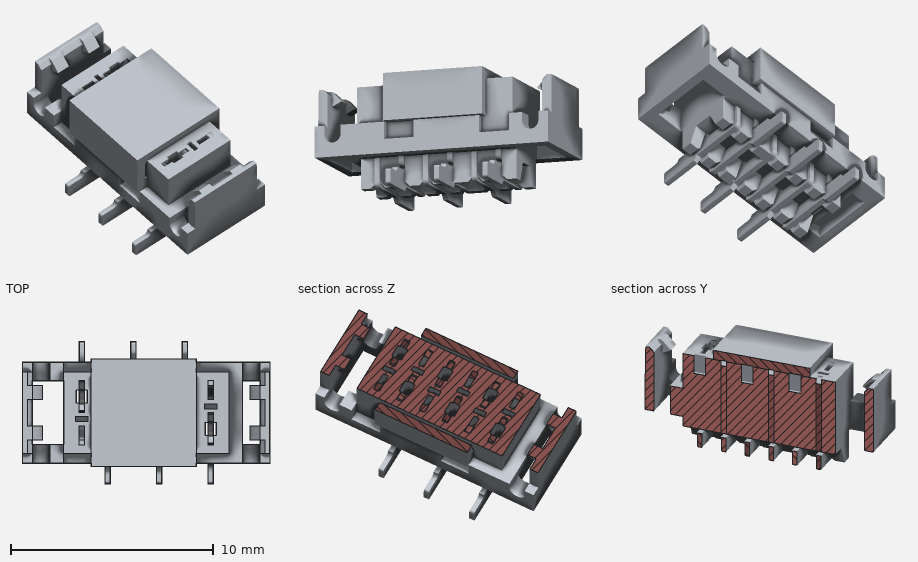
import cadquery as cq
import math


block_bottom = 0.25
base_bottom = 1.76
base_top = 3.34
tower_top = 5.25
base_left = -6.11
base_right = 6.11
base_width = 5.0
tower_length = 8.15
tower_width = 4.01
block_width = 2.82

clip_inner_x = 5.61
clip_lean = 0.04
lip_chamfer = 0.25
notch_outer_x = clip_inner_x
notch_inner_x = 4.75
notch_bottom = 2.47
opening_width = 3.13
hook_tip_x = 5.11
hook_tip_z = 4.75
hook_bottom = 4.51
hook_width = 0.7
hook_spacing = 1.99

recess_floor = notch_bottom
left_recess_end = -2.49
right_recess_start = 0.93

cap_left = -2.71
cap_right = 2.47
cap_width = 5.3
cap_top = 5.75
cap_bottom = 3.37
cap_gap = 0.15
cap_top_chamfer = 0.12
grip_top = 4.0
grip_chamfer = 0.1

contact_count = 6
contact_pitch = 1.27
contact_thickness = 0.27
contact_reach = 1.6
foot_span = 7.0
foot_tip = foot_span / 2
foot_heel = 1.4
foot_fillet = 0.12
step_start = 2.48
step_radius = 0.25
bar_top = 1.03
foot_top = bar_top - step_radius
heel_fillet = 0.23
groove_height = 0.1
post_top = 5.23
post_top_inner = -1.35
post_root = -0.88
post_foot = -0.65
post_slope = 72.0
fork_underside = 1.23
fork_tip_z = 5.23
fork_center = 0.8
fork_tip_inset = 0.1
fork_gap_half = 0.35
fork_floor_half = 0.15
fork_lead_in = 0.38
fork_floor = 1.95
fork_taper_start = 4.15
shoulder_radius = 0.25
inner_groove_y = 0.37
outer_groove_y = contact_reach - shoulder_radius

window_start = 0.49
window_end = 1.11
window_width = 0.53
mouth_chamfer = 0.25
half_mouth_index = 2
pocket_center = -0.32
pocket_length = 0.6
pocket_width = 0.25
pocket_depth = 0.98
channel_top_width = 0.95
channel_bottom_width = 1.74


def box(x_min, x_max, y_min, y_max, z_min, z_max):
    """Axis-aligned box between the given limits."""
    size = (x_max - x_min, y_max - y_min, z_max - z_min)
    return cq.Workplane("XY").box(*size, centered=False).translate((x_min, y_min, z_min))


def centered_box(x_min, x_max, width, z_min, z_max):
    """Box that is symmetric about Y = 0."""
    return box(x_min, x_max, -width / 2, width / 2, z_min, z_max)


def extrude_along_y(points, width, center_y=0.0):
    """Prism of an XZ outline, centred on center_y."""
    outline = cq.Workplane("XZ").polyline(points).close()
    return outline.extrude(width / 2, both=True).translate((0, center_y, 0))


def contact_places():
    """X position and foot direction (+1 towards +Y) of every contact."""
    middle = (contact_count - 1) / 2
    return [((i - middle) * contact_pitch, (-1) ** i) for i in range(contact_count)]


def clip_wall(side, outer_x, top_outer_x):
    """Clip wall above the base with a chamfered lip and two latching hooks."""
    inner_x = side * clip_inner_x
    lip_x = inner_x + side * lip_chamfer
    wall_outline = [
        (outer_x, base_top),
        (inner_x, base_top),
        (inner_x, tower_top - lip_chamfer),
        (lip_x, tower_top),
        (top_outer_x, tower_top),
    ]
    hook_outline = [
        (lip_x, tower_top),
        (inner_x, tower_top),
        (side * hook_tip_x, hook_tip_z),
        (inner_x, hook_bottom),
        (lip_x, hook_bottom),
    ]
    wall = extrude_along_y(wall_outline, tower_width)
    for hook_y in (-hook_spacing / 2, hook_spacing / 2):
        wall = wall.union(extrude_along_y(hook_outline, hook_width, hook_y))
    return wall


def clip_notch(side):
    """Round-bottomed notch across the base that lets a clip wall flex."""
    radius = (notch_outer_x - notch_inner_x) / 2
    center_x = side * (notch_outer_x + notch_inner_x) / 2
    center_z = notch_bottom + radius
    slot = centered_box(center_x - radius, center_x + radius, base_width, center_z, base_top)
    bottom = cq.Workplane("XZ").center(center_x, center_z).circle(radius)
    return slot.union(bottom.extrude(base_width / 2, both=True))


def side_recess(x_min, x_max):
    """Open-topped recesses beside the tower, one on each long side."""
    strip = centered_box(x_min, x_max, base_width, recess_floor, base_top)
    return strip.cut(centered_box(x_min, x_max, tower_width, recess_floor, base_top))


def contact_cavity():
    """Space cut for one contact at X = 0 whose foot points to +Y."""
    half = contact_thickness / 2
    fork_slot = box(-half, half, 0, contact_reach, block_bottom, tower_top)
    post_slot = box(-half, half, -contact_reach, post_foot, block_bottom, tower_top)
    bar_slit = centered_box(-half, half, block_width, block_bottom, fork_underside)
    window = box(-window_width / 2, window_width / 2, window_start, window_end, block_bottom, tower_top)
    pocket = box(
        -pocket_length / 2, pocket_length / 2,
        pocket_center - pocket_width / 2, pocket_center + pocket_width / 2,
        tower_top - pocket_depth, tower_top,
    )
    return fork_slot.union(post_slot).union(bar_slit).union(window).union(pocket)


def slit_mouth(x, side):
    """Chamfer along one side of the contact slit at x, in the underside of the lower block."""
    edge = x + side * contact_thickness / 2
    outline = [
        (x, block_bottom),
        (edge + side * mouth_chamfer, block_bottom),
        (edge, block_bottom + mouth_chamfer),
        (x, block_bottom + mouth_chamfer),
    ]
    return extrude_along_y(outline, block_width)


def drain_channel():
    """Trapezoidal channel along X in the underside of the lower block."""
    outline = [
        (-channel_bottom_width / 2, block_bottom),
        (channel_bottom_width / 2, block_bottom),
        (channel_top_width / 2, fork_underside),
        (-channel_top_width / 2, fork_underside),
    ]
    return cq.Workplane("YZ").polyline(outline).close().extrude(tower_length / 2, both=True)


def place_at_contact(shape, x, direction):
    """Move a shape made for X = 0 to a contact position, mirrored for a foot towards -Y."""
    if direction < 0:
        shape = shape.mirror("XZ")
    return shape.translate((x, 0, 0))


def make_housing():
    half_length = tower_length / 2
    housing = centered_box(base_left, base_right, base_width, base_bottom, base_top)
    housing = housing.union(centered_box(-half_length, half_length, tower_width, base_top, tower_top))
    housing = housing.union(centered_box(-half_length, half_length, block_width, block_bottom, base_bottom))
    for side, outer_x, lean in ((-1, base_left, 0), (1, base_right, clip_lean)):
        housing = housing.union(clip_wall(side, outer_x, outer_x - lean))
        housing = housing.cut(clip_notch(side))
    openings = ((-clip_inner_x, -half_length), (notch_inner_x, clip_inner_x))
    for x_min, x_max in openings:
        housing = housing.cut(centered_box(x_min, x_max, opening_width, base_bottom, base_top))
    recesses = ((-half_length, left_recess_end), (right_recess_start, cap_right))
    for x_min, x_max in recesses:
        housing = housing.cut(side_recess(x_min, x_max))
    housing = housing.cut(drain_channel())
    for index, (x, direction) in enumerate(contact_places()):
        housing = housing.cut(place_at_contact(contact_cavity(), x, direction))
        housing = housing.cut(slit_mouth(x, 1))
        if index != half_mouth_index:
            housing = housing.cut(slit_mouth(x, -1))
    return housing


def make_cap():
    """Inverted U that grips the tower at the lower ends of its side walls."""
    outer = cap_width / 2
    tower_side = tower_width / 2
    gap_side = tower_side + cap_gap
    right_half = [
        (outer, cap_top),
        (outer, cap_bottom),
        (tower_side + grip_chamfer, cap_bottom),
        (tower_side, cap_bottom + grip_chamfer),
        (tower_side, grip_top),
        (gap_side, grip_top + grip_chamfer),
        (gap_side, tower_top - cap_top_chamfer),
        (gap_side - cap_top_chamfer, tower_top),
    ]
    left_half = [(-y, z) for y, z in reversed(right_half)]
    outline = cq.Workplane("YZ").workplane(offset=cap_left).polyline(right_half + left_half)
    return outline.close().extrude(cap_right - cap_left)


def make_contact():
    """Flat contact at X = 0 with its foot towards +Y: foot, bar, post and fork."""
    diagonal = math.sqrt(0.5)
    groove_radius = (fork_underside - bar_top) / 2
    groove_z = bar_top + groove_radius
    slope = math.radians(post_slope)
    post_fillet = (post_foot - post_root) / math.sin(slope)
    root_z = post_top - (post_root - post_top_inner) * math.tan(slope)
    fillet_z = root_z + post_fillet * math.cos(slope)
    floor_fillet = fork_gap_half - fork_floor_half
    fillet_bulge = floor_fillet * (1 - diagonal)
    inner_wall = fork_center - fork_gap_half
    outer_wall = fork_center + fork_gap_half
    lead_in_end = fork_tip_z - fork_lead_in

    profile = (
        cq.Workplane("YZ")
        .moveTo(foot_tip, 0)
        .lineTo(foot_heel, 0)
        .lineTo(foot_heel - block_bottom, block_bottom)
        .lineTo(-contact_reach + heel_fillet, block_bottom)
        .threePointArc(
            (-contact_reach + heel_fillet * (1 - diagonal), block_bottom + heel_fillet * (1 - diagonal)),
            (-contact_reach, block_bottom + heel_fillet),
        )
        .lineTo(-contact_reach, base_bottom - groove_height)
        .lineTo(-contact_reach + groove_height, base_bottom)
        .lineTo(-contact_reach, base_bottom)
        .lineTo(-contact_reach, post_top)
        .lineTo(post_top_inner, post_top)
        .lineTo(post_root, root_z)
        .threePointArc(
            (post_foot - post_fillet * math.sin(slope / 2), fillet_z - post_fillet * math.cos(slope / 2)),
            (post_foot, fillet_z - post_fillet),
        )
        .lineTo(post_foot, bar_top)
        .lineTo(inner_groove_y, bar_top)
        .threePointArc((inner_groove_y + groove_radius, groove_z), (inner_groove_y, fork_underside))
        .lineTo(0, fork_underside)
        .lineTo(0, fork_taper_start)
        .lineTo(fork_tip_inset, fork_tip_z)
        .lineTo(inner_wall, lead_in_end)
        .lineTo(inner_wall, fork_floor + floor_fillet)
        .threePointArc(
            (inner_wall + fillet_bulge, fork_floor + fillet_bulge),
            (inner_wall + floor_fillet, fork_floor),
        )
        .lineTo(outer_wall - floor_fillet, fork_floor)
        .threePointArc(
            (outer_wall - fillet_bulge, fork_floor + fillet_bulge),
            (outer_wall, fork_floor + floor_fillet),
        )
        .lineTo(outer_wall, lead_in_end)
        .lineTo(contact_reach - fork_tip_inset, fork_tip_z)
        .lineTo(contact_reach, fork_taper_start)
        .lineTo(contact_reach, fork_underside + shoulder_radius)
        .threePointArc(
            (outer_groove_y + shoulder_radius * diagonal, fork_underside + shoulder_radius * (1 - diagonal)),
            (outer_groove_y, fork_underside),
        )
        .threePointArc((outer_groove_y - groove_radius, groove_z), (outer_groove_y, bar_top))
        .lineTo(step_start, bar_top)
        .threePointArc(
            (step_start + step_radius * (1 - diagonal), foot_top + step_radius * (1 - diagonal)),
            (step_start + step_radius, foot_top),
        )
        .lineTo(foot_tip, foot_top)
        .close()
    )
    contact = profile.extrude(contact_thickness / 2, both=True)
    return contact.faces(">Y").edges("|X").fillet(foot_fillet)


housing = make_housing()
cap = make_cap()
contacts = [place_at_contact(make_contact(), x, direction) for x, direction in contact_places()]

result = cq.Compound.makeCompound([housing.val(), cap.val(), *[contact.val() for contact in contacts]])